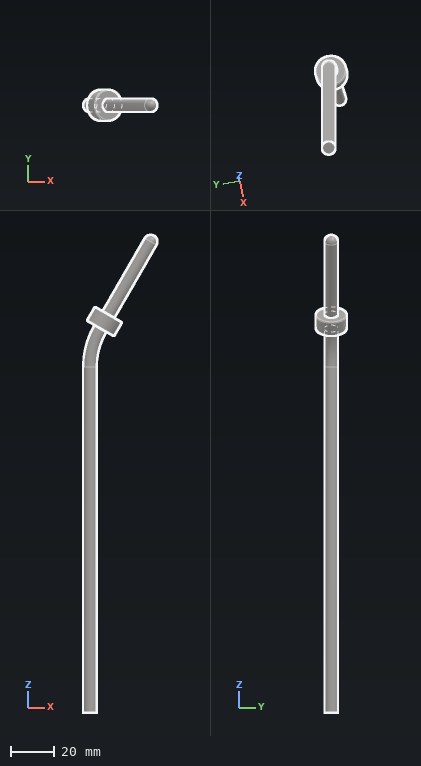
import cadquery as cq
import math

total_height = 221.2
total_width = 34.5
rod_diameter = 6.5
collar_diameter = 14.5
collar_thickness = 7.5
collar_fillet = 0.5
collar_offset = 13.5
straight_length = 160.0
bend_angle = 30.0

rod_radius = rod_diameter / 2
tilt = math.radians(bend_angle)
arm_direction = cq.Vector(math.sin(tilt), 0, math.cos(tilt))

tip_center = cq.Vector(total_width - rod_diameter, 0, total_height - rod_radius)

bend_corner = cq.Vector(0, 0, tip_center.z - tip_center.x / math.tan(tilt))
tangent_length = bend_corner.z - straight_length
bend_radius = tangent_length / math.tan(tilt / 2)
bend_end = bend_corner + arm_direction * tangent_length


def arm_cylinder(start, length, diameter):
    """Cylinder along the tilted arm, starting at the given axis point."""
    return cq.Workplane(cq.Solid.makeCylinder(diameter / 2, length, start, arm_direction))


lower_rod = cq.Workplane("XY").circle(rod_radius).extrude(straight_length)

bend = (
    cq.Workplane("XY", origin=(0, 0, straight_length))
    .circle(rod_radius)
    .revolve(bend_angle, (bend_radius, 0, 0), (bend_radius, 1, 0))
)

upper_rod = arm_cylinder(bend_end, (tip_center - bend_end).Length, rod_diameter)
tip = cq.Workplane("XY", origin=tip_center.toTuple()).sphere(rod_radius)

collar_start = bend_corner + arm_direction * (collar_offset - collar_thickness / 2)
collar = arm_cylinder(collar_start, collar_thickness, collar_diameter).edges().fillet(collar_fillet)

result = lower_rod.union(bend).union(upper_rod).union(tip).union(collar)